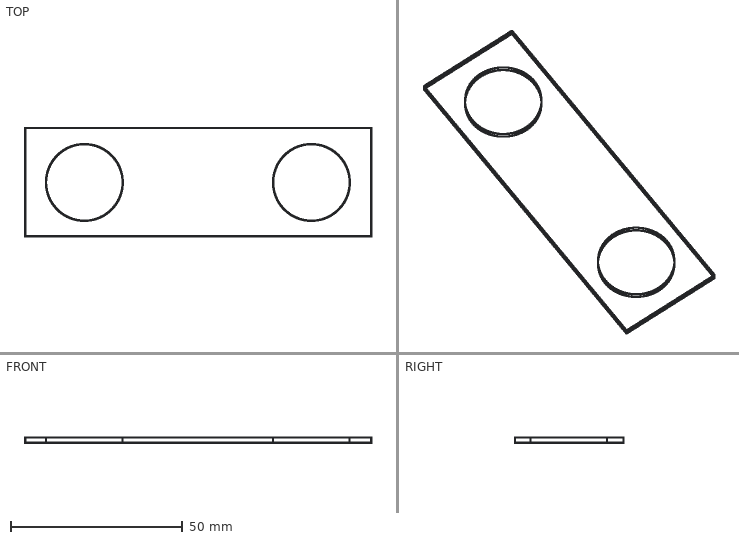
import cadquery as cq

length = 101.1
width = 31.7
thickness = 1.6

hole_diameter = 22.3
hole_spacing = 66.3
left_hole_to_edge = 17.3
front_edge_to_holes = 15.8

left_hole_x = left_hole_to_edge - length / 2
hole_y = front_edge_to_holes - width / 2
hole_centers = [(left_hole_x, hole_y), (left_hole_x + hole_spacing, hole_y)]

plate = cq.Workplane("XY").box(length, width, thickness)
result = plate.faces(">Z").workplane().pushPoints(hole_centers).hole(hole_diameter)